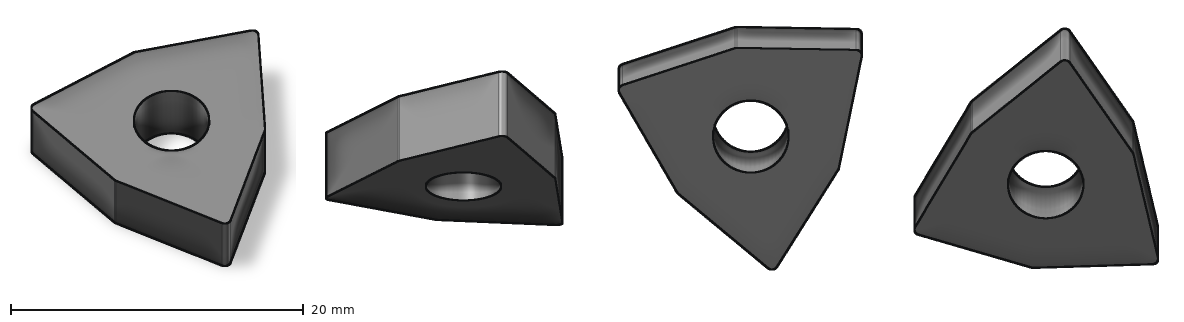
import cadquery as cq
import math

inscribed_diameter = 12.7
thickness = 4.76
hole_diameter = 5.16
edge_radius = 0.41

corner_count = 3
corner_angle = 80.0
first_corner_bearing = 100.0
corner_pitch = 360.0 / corner_count
blunt_angle = 720.0 / corner_count - corner_angle

inscribed_radius = inscribed_diameter / 2
sharp_reach = inscribed_radius / math.sin(math.radians(corner_angle / 2))
blunt_reach = inscribed_radius / math.sin(math.radians(blunt_angle / 2))


def polar_point(reach, bearing):
    angle = math.radians(bearing)
    return (reach * math.cos(angle), reach * math.sin(angle))


outline = []
for index in range(corner_count):
    bearing = first_corner_bearing + index * corner_pitch
    outline.append(polar_point(sharp_reach, bearing))
    outline.append(polar_point(blunt_reach, bearing + corner_pitch / 2))

body = cq.Workplane("XY").polyline(outline).close().extrude(thickness)
body = body.edges("|Z").fillet(edge_radius)

result = body.faces(">Z").workplane(origin=(0, 0, thickness)).hole(hole_diameter)